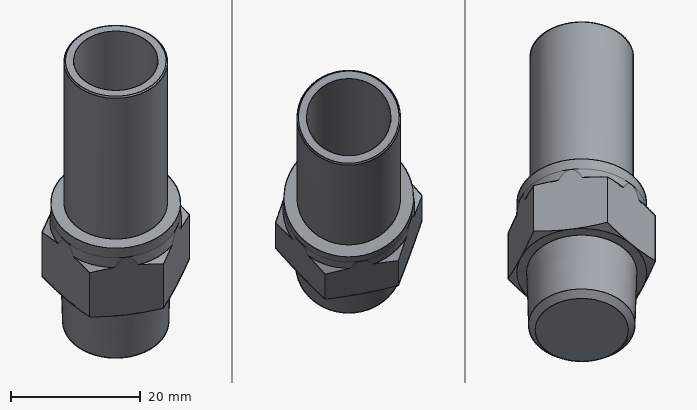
import cadquery as cq
import math

total_height = 57.5
thread_chamfer_top = 1.05
hex_bottom = 12.1
hex_lower_corner = 12.6
hex_upper_corner = 22.15
neck_bottom = 22.65
collar_bottom = 24.6
collar_top = 26.7

across_flats = 20.0
corner_radius = across_flats / math.sqrt(3)
collar_radius = across_flats / 2
neck_bottom_radius = 10.2
thread_tip_radius = 7.2
thread_lower_radius = 8.2
thread_upper_radius = 8.5
tube_radius = 8.0
bore_radius = 6.5
tube_edge_chamfer = 0.25
bore_depth = total_height - collar_top


def revolve_profile(points):
    """Turn a half outline of (radius, height) points about the Z axis."""
    return cq.Workplane("XZ").polyline(points).close().revolve(360, (0, 0), (0, 1))


def make_nut():
    """Hexagon with both ends turned conical and a flared neck under the collar."""
    hexagon = (
        cq.Workplane("XY")
        .workplane(offset=hex_bottom)
        .polygon(6, 2 * corner_radius)
        .extrude(collar_bottom - hex_bottom)
    )
    turned_envelope = revolve_profile([
        (0, hex_bottom),
        (collar_radius, hex_bottom),
        (corner_radius, hex_lower_corner),
        (corner_radius, hex_upper_corner),
        (neck_bottom_radius, neck_bottom),
        (collar_radius, collar_bottom),
        (0, collar_bottom),
    ])
    return hexagon.intersect(turned_envelope)


def make_collar():
    return (
        cq.Workplane("XY")
        .workplane(offset=collar_bottom)
        .circle(collar_radius)
        .extrude(collar_top - collar_bottom)
    )


def make_threaded_end():
    """Plain tapered envelope of the thread, chamfered at its tip."""
    return revolve_profile([
        (0, 0),
        (thread_tip_radius, 0),
        (thread_lower_radius, thread_chamfer_top),
        (thread_upper_radius, hex_bottom),
        (0, hex_bottom),
    ])


def make_tube():
    return (
        cq.Workplane("XY")
        .workplane(offset=collar_top)
        .circle(tube_radius)
        .extrude(total_height - collar_top)
        .faces(">Z")
        .chamfer(tube_edge_chamfer)
    )


def make_bore():
    """Blind bore whose floor lies level with the top of the collar."""
    return (
        cq.Workplane("XY")
        .workplane(offset=total_height - bore_depth)
        .circle(bore_radius)
        .extrude(bore_depth)
    )


body = make_threaded_end().union(make_nut()).union(make_collar()).union(make_tube())
result = body.cut(make_bore())